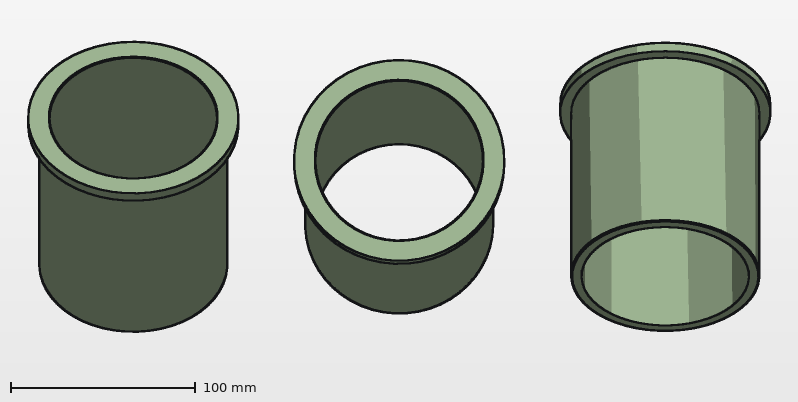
import cadquery as cq

total_height = 115.0
flange_diameter = 114.0
sleeve_diameter = 102.0
bore_diameter = 90.6
flange_thickness = 5.8

bore_chamfer = 0.5
sleeve_chamfer = 0.6

sleeve = (
    cq.Workplane("XY")
    .circle(sleeve_diameter / 2)
    .extrude(total_height)
    .faces("<Z")
    .chamfer(sleeve_chamfer)
)

flange = (
    cq.Workplane("XY", origin=(0, 0, total_height - flange_thickness))
    .circle(flange_diameter / 2)
    .extrude(flange_thickness)
)

bore = cq.Workplane("XY").circle(bore_diameter / 2).extrude(total_height)
bushing = sleeve.union(flange).cut(bore)
smallest_radius = cq.selectors.RadiusNthSelector(0)
result = bushing.faces(">Z").edges(smallest_radius).chamfer(bore_chamfer)